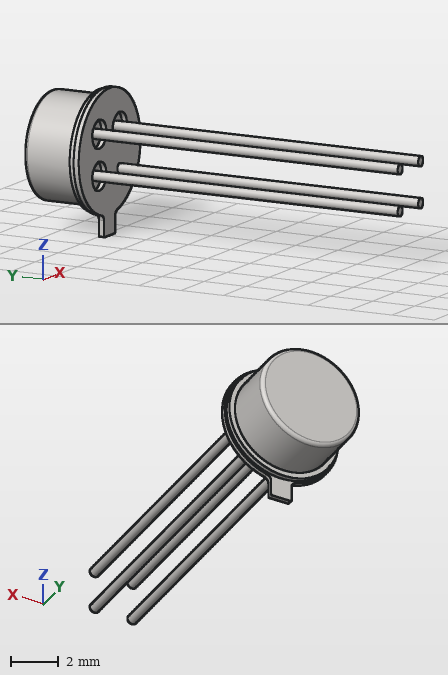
import cadquery as cq
import math

total_length = 17.06
package_height = 2.8
lead_protrusion = total_length - package_height

plate_diameter = 5.4
plate_radius = plate_diameter / 2
plate_thickness = 0.24
overall_height = 6.3
tab_bottom = plate_radius - overall_height
tab_width = 0.99
tab_root_radius = 0.25
tab_corner_radius = 0.07

flange_diameter = 5.22
flange_thickness = 0.24
can_diameter = 4.7
cap_wall = 0.24
rim_radius = 0.17
cap_height = package_height - plate_thickness
cavity_diameter = can_diameter - 2 * cap_wall
cavity_depth = cap_height - cap_wall

lead_diameter = 0.45
lead_spacing = 1.79
clearance_hole_diameter = 1.23
lead_offset = lead_spacing / 2
insulated_positions = [
    (-lead_offset, lead_offset),
    (lead_offset, lead_offset),
    (-lead_offset, -lead_offset),
]
ground_position = (lead_offset, -lead_offset)


def cylinder_along_y(diameter, y_start, length, center=(0, 0)):
    """Cylinder running toward +Y from y_start, centred on (X, Z)."""
    base = cq.Vector(center[0], y_start, center[1])
    return cq.Workplane(obj=cq.Solid.makeCylinder(diameter / 2, length, base, cq.Vector(0, 1, 0)))


def make_base_plate():
    """Round plate with a rounded tab, three clearance holes and a tight ground-lead hole."""
    half_tab = tab_width / 2
    tab_root_z = -math.sqrt(plate_radius**2 - half_tab**2)
    plate = (
        cq.Workplane("XZ")
        .moveTo(-half_tab, tab_root_z)
        .threePointArc((0, plate_radius), (half_tab, tab_root_z))
        .lineTo(half_tab, tab_bottom)
        .lineTo(-half_tab, tab_bottom)
        .close()
        .extrude(-plate_thickness)
    )
    tab_middle_z = (tab_root_z + tab_bottom) / 2
    root_edges = plate.edges("|Y").filter(lambda edge: edge.Center().z > tab_middle_z)
    plate = root_edges.fillet(tab_root_radius)
    plate = plate.edges("|Y").edges("<Z").fillet(tab_corner_radius)
    for position in insulated_positions:
        plate = plate.cut(cylinder_along_y(clearance_hole_diameter, 0, plate_thickness, position))
    return plate.cut(cylinder_along_y(lead_diameter, 0, plate_thickness, ground_position))


def make_cap():
    """Flanged cup with a rounded rim at its closed end, resting on the plate."""
    flange_radius = flange_diameter / 2
    can_radius = can_diameter / 2
    flange_top = plate_thickness + flange_thickness
    profile = [
        (0, plate_thickness),
        (flange_radius, plate_thickness),
        (flange_radius, flange_top),
        (can_radius, flange_top),
        (can_radius, package_height),
        (0, package_height),
    ]
    cap = cq.Workplane("XY").polyline(profile).close().revolve(360, (0, 0, 0), (0, 1, 0))
    cap = cap.faces(">Y").edges().fillet(rim_radius)
    return cap.cut(cylinder_along_y(cavity_diameter, plate_thickness, cavity_depth))


def make_glass_fill():
    """Insulating fill of the cap, forming the floor of the clearance holes."""
    return cylinder_along_y(cavity_diameter, plate_thickness, cavity_depth)


def make_lead(position):
    """Straight round lead that ends against the glass fill."""
    return cylinder_along_y(lead_diameter, -lead_protrusion, lead_protrusion + plate_thickness, position)


base_plate = make_base_plate()
cap = make_cap()
glass_fill = make_glass_fill()
leads = [make_lead(position) for position in insulated_positions + [ground_position]]

result = cq.Compound.makeCompound(
    [base_plate.val(), cap.val(), glass_fill.val(), *[lead.val() for lead in leads]]
)